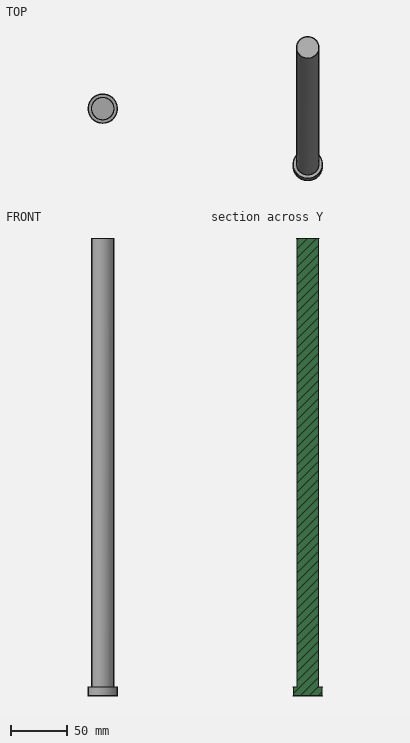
import cadquery as cq

total_length = 408.0
shaft_diameter = 20.0
head_diameter = 26.0
head_height = 8.0

head = cq.Workplane("XY").circle(head_diameter / 2).extrude(head_height)
shaft = cq.Workplane("XY").circle(shaft_diameter / 2).extrude(total_length)

result = head.union(shaft)